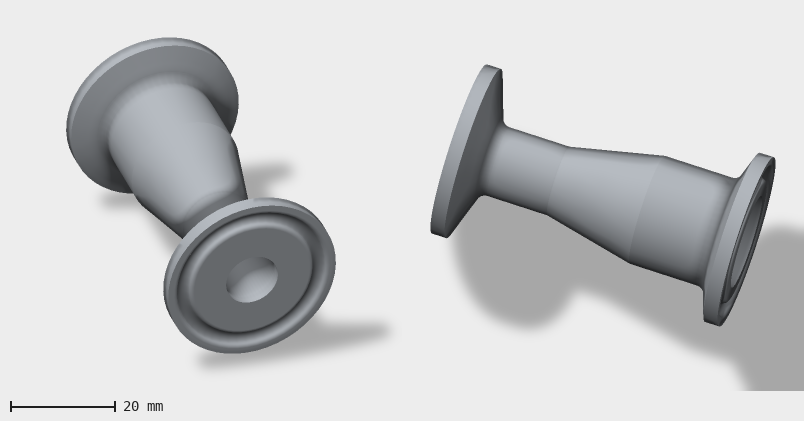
import cadquery as cq
import math

full_turn = 360
axis_start = (0, 0, 0)
axis_end = (1, 0, 0)

length = 58.0
wide_tube_radius = 21.7 / 2
narrow_tube_radius = 13.8 / 2
wide_bore_radius = 18.4 / 2
narrow_bore_radius = 10.5 / 2
taper_start = 20.0
taper_end = 38.0

flange_radius = 17.0
rim_thickness = 2.85
cone_angle = math.radians(20)
neck_fillet_radius = 2.0

groove_center_radius = 27.5 / 2
groove_width = 4.1
groove_depth = 1.6
groove_wall_angle = math.radians(25)
groove_lip_radius = 0.8


def ferrule_neck(tube_radius):
    """Outer points (distance from end face, radius) from the rim to the plain tube."""
    cone_foot = rim_thickness + (flange_radius - tube_radius) * math.tan(cone_angle)
    turn = math.pi / 2 - cone_angle
    tangent_length = neck_fillet_radius * math.tan(turn / 2)
    fillet_end = cone_foot + tangent_length
    cone_tangent = (
        cone_foot - tangent_length * math.sin(cone_angle),
        tube_radius + tangent_length * math.cos(cone_angle),
    )
    fillet_middle = (
        fillet_end - neck_fillet_radius * math.sin(turn / 2),
        tube_radius + neck_fillet_radius * (1 - math.cos(turn / 2)),
    )
    return cone_tangent, fillet_middle, (fillet_end, tube_radius)


def from_far_end(point):
    """Mirror a point so that its X is measured back from the narrow end face."""
    return (length - point[0], point[1])


def make_body():
    """Tube, taper and both ferrules, with the bore running through."""
    wide_cone, wide_middle, wide_tube = ferrule_neck(wide_tube_radius)
    narrow_cone, narrow_middle, narrow_tube = map(from_far_end, ferrule_neck(narrow_tube_radius))
    profile = (
        cq.Workplane("XZ")
        .moveTo(0, wide_bore_radius)
        .lineTo(0, flange_radius)
        .lineTo(rim_thickness, flange_radius)
        .lineTo(*wide_cone)
        .threePointArc(wide_middle, wide_tube)
        .lineTo(taper_start, wide_tube_radius)
        .lineTo(taper_end, narrow_tube_radius)
        .lineTo(*narrow_tube)
        .threePointArc(narrow_middle, narrow_cone)
        .lineTo(length - rim_thickness, flange_radius)
        .lineTo(length, flange_radius)
        .lineTo(length, narrow_bore_radius)
        .lineTo(taper_end, narrow_bore_radius)
        .lineTo(taper_start, wide_bore_radius)
        .close()
    )
    return profile.revolve(full_turn, axis_start, axis_end)


def make_groove():
    """Ring cutter for the end face at X = 0: round bottom, sloped walls, rounded lips."""
    center = groove_center_radius
    half_width = groove_width / 2

    lip_turn = math.pi / 2 - groove_wall_angle
    lip_end_depth = groove_lip_radius * (1 - math.cos(lip_turn))
    lip_end_offset = half_width - groove_lip_radius * math.sin(lip_turn)
    lip_middle_depth = groove_lip_radius * (1 - math.cos(lip_turn / 2))
    lip_middle_offset = half_width - groove_lip_radius * math.sin(lip_turn / 2)

    wall_slope = math.tan(groove_wall_angle)
    apex_depth = lip_end_depth + lip_end_offset / wall_slope
    bottom_radius = (apex_depth - groove_depth) / (1 / math.sin(groove_wall_angle) - 1)
    bottom_offset = bottom_radius * math.cos(groove_wall_angle)
    bottom_start_depth = apex_depth - bottom_offset / wall_slope

    profile = (
        cq.Workplane("XZ")
        .moveTo(0, center - half_width)
        .threePointArc(
            (lip_middle_depth, center - lip_middle_offset),
            (lip_end_depth, center - lip_end_offset),
        )
        .lineTo(bottom_start_depth, center - bottom_offset)
        .threePointArc((groove_depth, center), (bottom_start_depth, center + bottom_offset))
        .lineTo(lip_end_depth, center + lip_end_offset)
        .threePointArc((lip_middle_depth, center + lip_middle_offset), (0, center + half_width))
        .close()
    )
    return profile.revolve(full_turn, axis_start, axis_end)


wide_groove = make_groove()
narrow_groove = wide_groove.mirror("YZ").translate((length, 0, 0))
result = make_body().cut(wide_groove).cut(narrow_groove)